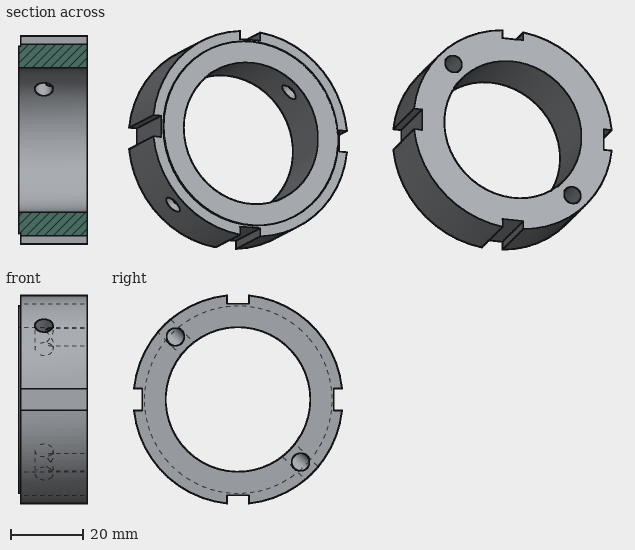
import cadquery as cq
import math

across_slots = 57.7
total_width = 19.0
bore_diameter = 40.0

face_diameter = 52.0
face_height = 0.5

slot_count = 4
slot_width = 6.0
slot_floor_radius = 26.55

hole_diameter = 5.0
hole_x = 7.0
hole_angle = 45.0

axial_hole_diameter = 4.9
axial_hole_radius = 24.5
axial_hole_count = 2

rim_radius = math.hypot(across_slots / 2, slot_width / 2)


def ring_body():
    rim = (
        cq.Workplane("YZ", origin=(face_height, 0, 0))
        .circle(rim_radius)
        .extrude(total_width - face_height)
    )
    face = cq.Workplane("YZ").circle(face_diameter / 2).extrude(total_width)
    bore = cq.Workplane("YZ").circle(bore_diameter / 2).extrude(total_width)
    return rim.union(face).cut(bore)


def wrench_slot(angle):
    slot_depth = rim_radius - slot_floor_radius
    return (
        cq.Workplane("XY", origin=(0, 0, slot_floor_radius))
        .rect(2 * total_width, slot_width)
        .extrude(slot_depth)
        .rotate((0, 0, 0), (1, 0, 0), angle)
    )


def radial_holes():
    return (
        cq.Workplane("XY", origin=(hole_x, 0, 0))
        .circle(hole_diameter / 2)
        .extrude(rim_radius, both=True)
        .rotate((0, 0, 0), (1, 0, 0), hole_angle)
    )


def axial_hole(angle):
    return (
        cq.Workplane("YZ", origin=(hole_x, 0, axial_hole_radius))
        .circle(axial_hole_diameter / 2)
        .extrude(total_width - hole_x)
        .rotate((0, 0, 0), (1, 0, 0), angle)
    )


result = ring_body()
for index in range(slot_count):
    result = result.cut(wrench_slot(index * 360 / slot_count))
result = result.cut(radial_holes())
for index in range(axial_hole_count):
    result = result.cut(axial_hole(hole_angle + index * 360 / axial_hole_count))